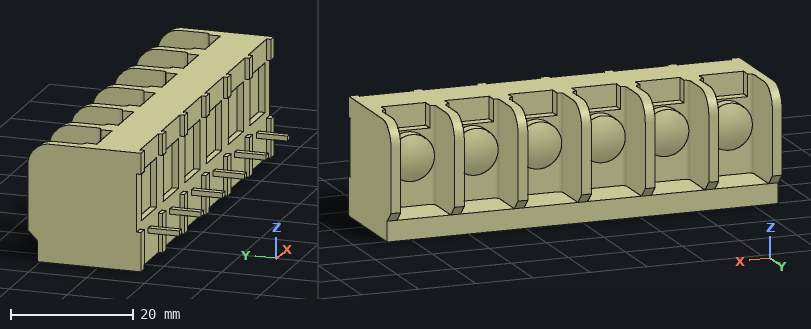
import cadquery as cq


length = 68.5
terminal_count = 6
wall_thickness = 1.7
pitch = (length - wall_thickness) / terminal_count
wall_xs = [(i - terminal_count / 2) * pitch for i in range(terminal_count + 1)]
terminal_xs = [(i - (terminal_count - 1) / 2) * pitch for i in range(terminal_count)]

height = 20.35
base_depth = 17.1
wall_overhang = 1.7
wall_depth = base_depth + wall_overhang
overhang_start_z = 3.55
wall_top_radius = 3.85

bay_width = pitch - wall_thickness
bay_back_y = 9.65
bay_floor_z = overhang_start_z
bay_corner_radius = 0.9

window_width = 7.75
window_bottom_z = 8.0
window_height = 8.5
window_depth = 1.1
window_top_z = window_bottom_z + window_height
slot_depth = 1.9

rib_projection = 0.75
lower_rib_top_z = 6.8
upper_rib_bottom_z = 16.7

screw_diameter = 7.95
screw_head_thickness = 1.9
screw_dome_height = 0.9
screw_z = window_bottom_z + window_height / 2

pin_width = 1.15
pin_height = 0.9
pin_length = 5.4
pin_z = 5.35


def box(x_center, x_size, y_min, y_max, z_min, z_max):
    """Box centred on x_center, with explicit Y and Z limits."""
    return (
        cq.Workplane("XY")
        .box(x_size, y_max - y_min, z_max - z_min, centered=(True, False, False))
        .translate((x_center, y_min, z_min))
    )


def make_housing():
    """Full-length housing with a rounded top and a chamfered overhang on the wire side."""
    return (
        cq.Workplane("YZ")
        .lineTo(base_depth, 0)
        .lineTo(base_depth, overhang_start_z)
        .lineTo(wall_depth, overhang_start_z + wall_overhang)
        .lineTo(wall_depth, height - wall_top_radius)
        .radiusArc((wall_depth - wall_top_radius, height), -wall_top_radius)
        .lineTo(0, height)
        .close()
        .extrude(length / 2, both=True)
    )


def make_bay(x):
    """Space above the bay floor, with rounded inner corners, and the slot behind it."""
    bay = (
        box(x, bay_width, bay_back_y, wall_depth, bay_floor_z, height)
        .edges("|Z and <Y")
        .fillet(bay_corner_radius)
    )
    slot = box(x, window_width, bay_back_y - slot_depth, wall_depth, window_top_z, height)
    return bay.union(slot)


def make_window(x):
    """Shallow rectangular recess in the front face."""
    return box(x, window_width, 0, window_depth, window_bottom_z, window_top_z)


def make_screw(x):
    """Domed screw head seated on the back of its bay, with its axis along Y."""
    radius = screw_diameter / 2
    dome_radius = (radius**2 + screw_dome_height**2) / (2 * screw_dome_height)
    return (
        cq.Workplane("XY")
        .lineTo(radius, 0)
        .lineTo(radius, screw_head_thickness)
        .radiusArc((0, screw_head_thickness + screw_dome_height), -dome_radius)
        .close()
        .revolve(360, (0, 0, 0), (0, 1, 0))
        .translate((x, bay_back_y, screw_z))
    )


def make_pin(x):
    """Rectangular solder pin standing out of the front face."""
    return box(x, pin_width, -pin_length, window_depth, pin_z - pin_height / 2, pin_z + pin_height / 2)


def make_ribs(x):
    """Upper and lower standoff ribs in line with one barrier wall."""
    lower = box(x, wall_thickness, -rib_projection, window_depth, 0, lower_rib_top_z)
    upper = box(x, wall_thickness, -rib_projection, window_depth, upper_rib_bottom_z, height)
    return lower.union(upper)


result = make_housing()
for terminal_x in terminal_xs:
    result = result.cut(make_bay(terminal_x))
    result = result.cut(make_window(terminal_x))
    result = result.union(make_screw(terminal_x))
    result = result.union(make_pin(terminal_x))
for wall_x in wall_xs:
    result = result.union(make_ribs(wall_x))